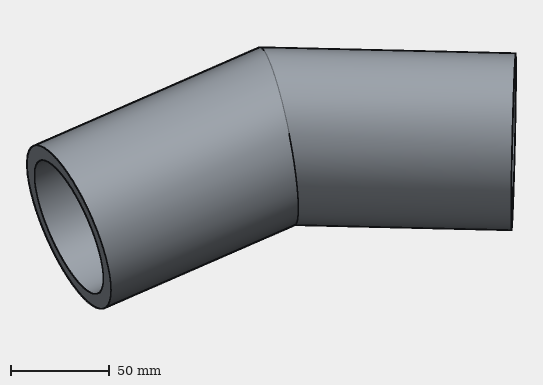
import cadquery as cq
import math

outer_diameter = 90.0
wall_thickness = 8.2
bend_angle = 30.0
leg_length = 120.04

inner_diameter = outer_diameter - 2 * wall_thickness
bend = math.radians(bend_angle)

inlet_centre = (0, -leg_length)
mitre_centre = (0, 0)
outlet_centre = (leg_length * math.sin(bend), leg_length * math.cos(bend))


def mitred_rod(diameter):
    """Solid rod following the centreline, with a sharp mitre at the bend."""
    centreline = cq.Workplane("XY").polyline([inlet_centre, mitre_centre, outlet_centre])
    inlet_plane = cq.Workplane("XZ", origin=(*inlet_centre, 0))
    return inlet_plane.circle(diameter / 2).sweep(centreline, transition="right")


result = mitred_rod(outer_diameter).cut(mitred_rod(inner_diameter))